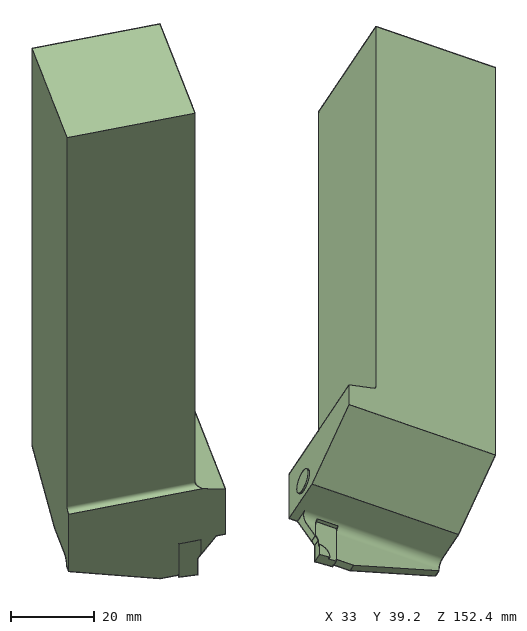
import cadquery as cq
import math

shank_size = 31.64
total_height = 152.4
head_width = 33.03
head_depth = 38.75

step_height = 28.75
step_slope = math.radians(15)
step_fillet = 1.0

head_bottom = 11.75
bevel_height = 20.1
bevel_end = 20.3
blade_fillet = 2.0

blade_left = 31.0
blade_bottom = 1.1
blade_front_height = 9.3
blade_bottom_start = 22.6
blade_rear_top = 36.5
blade_rear_end = 31.95
blade_rear_end_height = 5.5

screw_diameter = 6.2
overall_depth = 39.15
screw_protrusion = overall_depth - head_depth
screw_x = 24.8
screw_z = 16.8

insert_left = 30.93
insert_front = 27.2
insert_rear = 32.7
insert_top = 11.5
insert_shoulder = 6.8
insert_heel = 0.4
rake_face = 31.95
tip_left = 30.3
tip_depth = 2.7
tip_height = 3.5


def prism_along_x(outline, x_start, x_end):
    """Extrude a closed outline of (Y, Z) points from x_start to x_end."""
    sketch = cq.Workplane("YZ").workplane(offset=x_start).polyline(outline).close()
    return sketch.extrude(x_end - x_start)


def step_profile(path, outer):
    """Continue a path from the head's outer side up over the filleted step to the shank top."""
    tangent_length = step_fillet * math.tan((math.pi / 2 - step_slope) / 2)
    slope_end = (
        shank_size + tangent_length * math.cos(step_slope),
        step_height - tangent_length * math.sin(step_slope),
    )
    wall_start = (shank_size, step_height + tangent_length)
    center = (shank_size + step_fillet, wall_start[1])
    mid_angle = math.pi + (math.pi / 2 - step_slope) / 2
    arc_middle = (
        center[0] + step_fillet * math.cos(mid_angle),
        center[1] + step_fillet * math.sin(mid_angle),
    )
    outer_height = step_height - (outer - shank_size) * math.tan(step_slope)
    return (
        path.lineTo(outer, outer_height)
        .lineTo(*slope_end)
        .threePointArc(arc_middle, wall_start)
        .lineTo(shank_size, total_height)
        .lineTo(0, total_height)
        .close()
    )


def front_prism():
    """Holder section across X and Z, carried through the full head depth."""
    fillet_start = blade_left - blade_fillet
    fillet_end = head_bottom - blade_fillet
    diagonal = blade_fillet * math.sqrt(0.5)
    path = (
        cq.Workplane("XZ")
        .moveTo(0, bevel_height)
        .lineTo(bevel_end, head_bottom)
        .lineTo(fillet_start, head_bottom)
        .threePointArc((fillet_start + diagonal, fillet_end + diagonal), (blade_left, fillet_end))
        .lineTo(blade_left, 0)
        .lineTo(head_width, 0)
    )
    return step_profile(path, head_width).extrude(-head_depth)


def side_prism():
    """Holder outline across Y and Z, carried through the full head width."""
    path = (
        cq.Workplane("YZ")
        .moveTo(0, blade_front_height)
        .lineTo(blade_bottom_start, blade_bottom)
        .lineTo(blade_rear_end, blade_bottom)
        .lineTo(blade_rear_end, blade_rear_end_height)
        .lineTo(blade_rear_top, head_bottom)
        .lineTo(head_depth, head_bottom)
    )
    return step_profile(path, head_depth).extrude(head_width)


def make_screw_head():
    """Round screw head standing proud of the rear face."""
    return (
        cq.Workplane("XZ", origin=(screw_x, head_depth, screw_z))
        .circle(screw_diameter / 2)
        .extrude(-screw_protrusion)
    )


def make_insert_clearance():
    """Relief that clears the blade fillet in front of the insert's face."""
    outline = [
        (insert_front, insert_heel),
        (insert_rear, insert_heel),
        (insert_rear, insert_top),
        (insert_front, insert_top),
    ]
    return prism_along_x(outline, blade_left - blade_fillet, insert_left)


def make_holder(insert):
    """Shank, head, blade and screw head in one piece, with the insert's seat cut out."""
    blank = front_prism().intersect(side_prism())
    seated = blank.cut(make_insert_clearance()).cut(insert)
    return seated.union(make_screw_head())


def make_insert():
    """Upright insert with a rounded, wider tip at the cutting edge."""
    outline = [
        (insert_front, insert_heel),
        (rake_face, 0),
        (rake_face, blade_rear_end_height),
        (insert_rear, insert_shoulder),
        (insert_rear, insert_top),
        (insert_front, insert_top),
    ]
    body = prism_along_x(outline, insert_left, head_width)

    heel_slope = insert_heel / (rake_face - insert_front)
    tip_front = rake_face - tip_depth
    arc_middle = (rake_face - tip_depth * math.sqrt(0.5), tip_height * math.sqrt(0.5))
    tip = (
        cq.Workplane("YZ")
        .workplane(offset=tip_left)
        .moveTo(rake_face, 0)
        .lineTo(rake_face, tip_height)
        .threePointArc(arc_middle, (tip_front, tip_depth * heel_slope))
        .close()
        .extrude(head_width - tip_left)
    )
    return body.union(tip)


insert = make_insert()
holder = make_holder(insert)

result = cq.Compound.makeCompound([holder.solids().val(), insert.solids().val()])